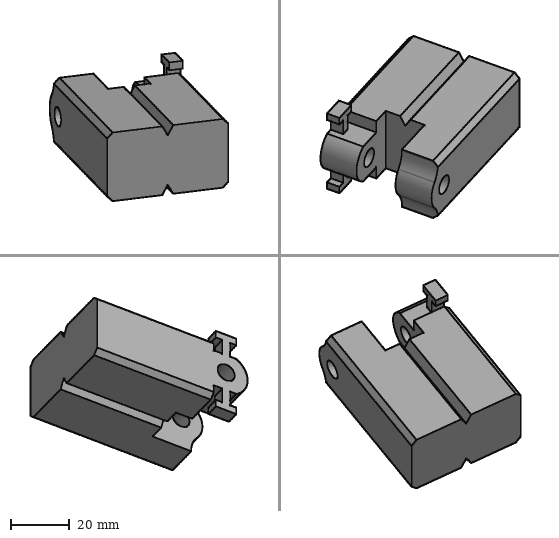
import cadquery as cq
import math

LENGTH = 59.95
WIDTH = 43.6
HEIGHT = 25.0
CHAMFER = 2.0
GROOVE_HALF_WIDTH = 2.0
GROOVE_DEPTH = GROOVE_HALF_WIDTH * math.sqrt(3)

SLOT_WIDTH = 15.25
SLOT_DEPTH = 19.9
NOSE_RADIUS = 8.6
PIN_X = NOSE_RADIUS
PIN_DIAMETER = 6.8
SHOULDER_X = 4.5
SHOULDER_Z = 12.05

NARROW_HEIGHT = 15.2
NARROW_END_X = 13.5

KEY_THICKNESS = 4.9
KEY_TIP_Z = 32.8 / 2
KEY_HEAD_BASE_Z = 13.55
KEY_HEAD_WIDTH = 2 * (PIN_X - SHOULDER_X)
KEY_STEM_WIDTH = 3.05
OVERLAP = 0.6


def box(x_min, x_max, y_min, y_max, z_min, z_max):
    size = (x_max - x_min, y_max - y_min, z_max - z_min)
    return cq.Workplane("XY").box(*size, centered=False).translate((x_min, y_min, z_min))


def extrude_along_y(profile, y_min, y_max):
    """Extrude a closed XZ profile between two Y positions."""
    return profile.extrude(-(y_max - y_min)).translate((0, y_min, 0))


def make_bar():
    bar = box(0, LENGTH, -WIDTH / 2, WIDTH / 2, -HEIGHT / 2, HEIGHT / 2)
    bar = bar.edges("|X").chamfer(CHAMFER)
    for side in (1, -1):
        groove = (
            cq.Workplane("YZ")
            .moveTo(-GROOVE_HALF_WIDTH, side * HEIGHT / 2)
            .lineTo(GROOVE_HALF_WIDTH, side * HEIGHT / 2)
            .lineTo(0, side * (HEIGHT / 2 - GROOVE_DEPTH))
            .close()
            .extrude(LENGTH)
        )
        bar = bar.cut(groove)
    return bar


def wide_lug_envelope():
    """Side outline whose round nose blends through tangent hollows into the shoulders."""
    offset = PIN_X - SHOULDER_X
    hollow_radius = (offset**2 + SHOULDER_Z**2 - NOSE_RADIUS**2) / (2 * (NOSE_RADIUS - offset))
    hollow_x = SHOULDER_X - hollow_radius
    blend_angle = math.atan2(SHOULDER_Z, PIN_X - hollow_x)
    blend_x = PIN_X - NOSE_RADIUS * math.cos(blend_angle)
    blend_z = NOSE_RADIUS * math.sin(blend_angle)
    middle_x = hollow_x + hollow_radius * math.cos(blend_angle / 2)
    middle_z = SHOULDER_Z - hollow_radius * math.sin(blend_angle / 2)

    profile = (
        cq.Workplane("XZ")
        .moveTo(LENGTH, -HEIGHT / 2)
        .lineTo(SHOULDER_X, -HEIGHT / 2)
        .lineTo(SHOULDER_X, -SHOULDER_Z)
        .threePointArc((middle_x, -middle_z), (blend_x, -blend_z))
        .threePointArc((0, 0), (blend_x, blend_z))
        .threePointArc((middle_x, middle_z), (SHOULDER_X, SHOULDER_Z))
        .lineTo(SHOULDER_X, HEIGHT / 2)
        .lineTo(LENGTH, HEIGHT / 2)
        .close()
    )
    return extrude_along_y(profile, -WIDTH / 2, 0)


def narrow_lug():
    half_height = NARROW_HEIGHT / 2
    arc_end_x = PIN_X - math.sqrt(NOSE_RADIUS**2 - half_height**2)
    profile = (
        cq.Workplane("XZ")
        .moveTo(NARROW_END_X, -half_height)
        .lineTo(arc_end_x, -half_height)
        .threePointArc((0, 0), (arc_end_x, half_height))
        .lineTo(NARROW_END_X, half_height)
        .close()
    )
    return extrude_along_y(profile, SLOT_WIDTH / 2, WIDTH / 2)


def make_key():
    """Upper T-shaped key, flush with the +Y side."""
    y_min = WIDTH / 2 - KEY_THICKNESS
    y_max = WIDTH / 2
    head_half = KEY_HEAD_WIDTH / 2
    stem_half = KEY_STEM_WIDTH / 2
    stem_base_z = NARROW_HEIGHT / 2 - OVERLAP
    head = box(PIN_X - head_half, PIN_X + head_half, y_min, y_max, KEY_HEAD_BASE_Z, KEY_TIP_Z)
    stem = box(PIN_X - stem_half, PIN_X + stem_half, y_min, y_max, stem_base_z, KEY_HEAD_BASE_Z)
    return head.union(stem)


bar = make_bar()
wide_side = bar.intersect(wide_lug_envelope())
narrow_side = bar.intersect(box(NARROW_END_X, LENGTH, 0, WIDTH / 2, -HEIGHT / 2, HEIGHT / 2))
slot = box(0, SLOT_DEPTH, -SLOT_WIDTH / 2, SLOT_WIDTH / 2, -HEIGHT / 2, HEIGHT / 2)
body = wide_side.union(narrow_side).cut(slot).union(narrow_lug())

pin_hole = extrude_along_y(
    cq.Workplane("XZ").center(PIN_X, 0).circle(PIN_DIAMETER / 2), -WIDTH / 2, WIDTH / 2
)
body = body.cut(pin_hole)

upper_key = make_key()
result = body.union(upper_key).union(upper_key.mirror("XY"))